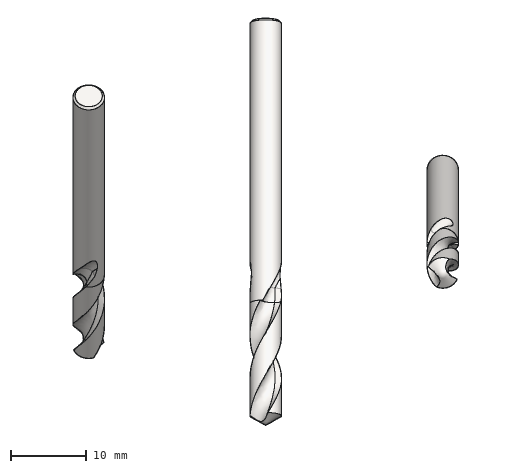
import cadquery as cq
import math

diameter = 4.2
overall_length = 55.0
radius = diameter / 2

point_angle = 118.0
point_height = radius / math.tan(math.radians(point_angle / 2))

joint_height = 16.6

chamfer_width = 0.3

flute_count = 2
helix_angle = 30.0
helix_pitch = math.pi * diameter / math.tan(math.radians(helix_angle))
helix_length = 18.75
helix_twist = 360 * helix_length / helix_pitch
lip_angle = -160.6
face_angles = [lip_angle + index * 360 / flute_count for index in range(flute_count)]
head_flute_opening = 90.0
shank_flute_opening = 80.0
lip_inner_radius = 1.25
web_radius = 0.7

runout_height = 4.5
runout_sideways = 0.55
runout_outward = 0.26

clearance = 0.6


def polar(distance, angle):
    return cq.Vector(
        distance * math.cos(math.radians(angle)),
        distance * math.sin(math.radians(angle)),
        0,
    )


def flute_section(face_angle, opening, height):
    """Cross-section of one flute: flat cutting face, curved floor, outer closing lines."""
    outer_radius = radius + clearance
    middle_angle = face_angle - opening / 2
    trailing_angle = face_angle - opening
    face_inner = polar(lip_inner_radius, face_angle)
    face_outer = polar(outer_radius, face_angle)
    floor = polar(web_radius, middle_angle)
    trailing_edge = polar(radius, trailing_angle)
    trailing_outer = polar(outer_radius, trailing_angle)
    beyond = polar(outer_radius / math.cos(math.radians(opening / 2)), middle_angle)
    return (
        cq.Workplane("XY", origin=(0, 0, height))
        .moveTo(face_outer.x, face_outer.y)
        .lineTo(face_inner.x, face_inner.y)
        .threePointArc((floor.x, floor.y), (trailing_edge.x, trailing_edge.y))
        .lineTo(trailing_outer.x, trailing_outer.y)
        .lineTo(beyond.x, beyond.y)
        .close()
    )


def helical_flute(face_angle, opening):
    """Flute twisted around the axis from the tip to the end of the helix."""
    return flute_section(face_angle, opening, 0).twistExtrude(helix_length, helix_twist)


def flute_runout(face_angle, opening):
    """Straight continuation of a flute that rises out of the shank surface."""
    end_angle = face_angle + helix_twist
    middle_angle = end_angle - opening / 2
    outward = polar(runout_outward, middle_angle)
    sideways = polar(runout_sideways, middle_angle + 90)
    travel = (outward + sideways + cq.Vector(0, 0, 1)) * runout_height
    section = flute_section(end_angle, opening, helix_length).wire().val()
    return cq.Workplane(cq.Solid.extrudeLinear(section, [], travel))


def turned(profile):
    """Solid of revolution about Z from (distance from axis, height) points."""
    return (
        cq.Workplane("XZ")
        .polyline(profile)
        .close()
        .revolve(360, (0, 0, 0), (0, 1, 0))
    )


def cutting_head():
    """Lower body: conical point and fluted cylinder."""
    head = turned([(0, 0), (radius, point_height), (radius, joint_height), (0, joint_height)])
    for face_angle in face_angles:
        head = head.cut(helical_flute(face_angle, head_flute_opening))
    return head


def fluted_shank():
    """Upper body: plain cylinder with a chamfered end, and the flutes running out at its lower end."""
    shank = turned(
        [
            (0, joint_height),
            (radius, joint_height),
            (radius, overall_length - chamfer_width),
            (radius - chamfer_width, overall_length),
            (0, overall_length),
        ]
    )
    for face_angle in face_angles:
        shank = shank.cut(helical_flute(face_angle, shank_flute_opening))
        shank = shank.cut(flute_runout(face_angle, shank_flute_opening))
    return shank


head = cutting_head()
shank = fluted_shank()

result = cq.Compound.makeCompound([head.val(), shank.val()])